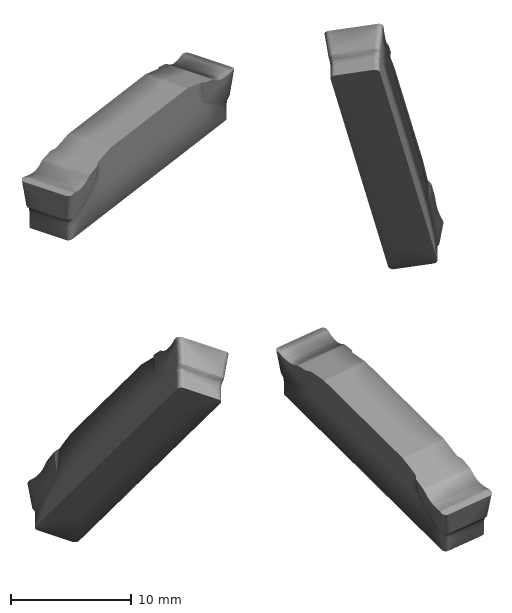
import cadquery as cq
import math

length = 25.22
height = 5.98
head_width = 5.0
body_width = 4.19
body_inset = 0.55
corner_radius = 0.4

edge_height = 4.67
land_start = 0.53
land_end = 0.68
land_height = 4.75
groove_entry = 1.05
groove_entry_height = 4.65
groove_start = 1.45
groove_flat_end = 1.97
groove_height = 4.6
groove_rise_end = 3.03
groove_rise_height = 5.02
groove_rise_sag = 0.08
crest_end = 3.35
crest_height = 5.2
crest_sag = 0.018
ramp_end = 6.75

relief_inset = 0.25
relief_bottom = 2.25
step_bottom = 1.71
head_bottom = 1.45

back_taper = 0.065
side_relief = 0.11
flank_length = 4.41
rear_slope = 1.9
rear_half_width = 1.25

mid_y = length / 2


def sagged_point(start, end, sag):
    """Middle of an arc that bulges down by sag for a rise from start to end."""
    chord_x = end[0] - start[0]
    chord_z = end[1] - start[1]
    chord = math.hypot(chord_x, chord_z)
    return (
        (start[0] + end[0]) / 2 + sag * chord_z / chord,
        (start[1] + end[1]) / 2 - sag * chord_x / chord,
    )


def at_end(distance, z):
    """Outline point of the -Y end, measured from its tip."""
    return (distance - mid_y, z)


def top_outline(start):
    """Trace the top from a start point on the tip to the middle of the part."""
    groove_flat = at_end(groove_flat_end, groove_height)
    groove_rise = at_end(groove_rise_end, groove_rise_height)
    crest = at_end(crest_end, crest_height)
    return (
        start.lineTo(*at_end(land_start, land_height))
        .lineTo(*at_end(land_end, land_height))
        .lineTo(*at_end(groove_entry, groove_entry_height))
        .lineTo(*at_end(groove_start, groove_height))
        .lineTo(*groove_flat)
        .threePointArc(sagged_point(groove_flat, groove_rise, groove_rise_sag), groove_rise)
        .threePointArc(sagged_point(groove_rise, crest, -crest_sag), crest)
        .lineTo(*at_end(ramp_end, height))
        .lineTo(0, height)
    )


def flank_section(z):
    """Corner points of the head at one height."""
    tip_half = head_width / 2 + back_taper * corner_radius + side_relief * (z - land_height)
    rear_half = tip_half - back_taper * flank_length
    rear_y = flank_length + rear_slope * (rear_half - rear_half_width) - mid_y
    right_side = [
        (tip_half, -mid_y),
        (rear_half, flank_length - mid_y),
        (rear_half_width, rear_y),
    ]
    left_side = [(-x, y) for x, y in reversed(right_side)]
    return right_side + left_side


def end_half():
    """-Y half of the part: body and flared cutting head."""
    start = (
        cq.Workplane("YZ", origin=(-head_width, 0, 0)).moveTo(*at_end(body_inset, head_bottom))
        .lineTo(*at_end(body_inset, step_bottom))
        .spline(
            [at_end(relief_inset, relief_bottom)],
            tangents=[(0, 1), (-relief_inset, edge_height - relief_bottom)],
            includeCurrent=True,
        )
        .lineTo(*at_end(0, edge_height))
    )
    profile = top_outline(start).lineTo(0, head_bottom).close().extrude(2 * head_width)
    flanks = (
        cq.Workplane("XY").workplane(offset=head_bottom).polyline(flank_section(head_bottom)).close()
        .workplane(offset=height - head_bottom).polyline(flank_section(height)).close()
        .loft(ruled=True)
    )
    head = profile.intersect(flanks)
    margin = 0.03
    corner_zone = cq.selectors.BoxSelector(
        (-head_width, -mid_y - margin, head_bottom),
        (head_width, body_inset - mid_y + margin, edge_height),
    )
    corners = head.edges(corner_zone).edges("not |X").edges("not |Y")
    head = corners.fillet(corner_radius)

    body = (
        cq.Workplane("XY").rect(body_width, length - 2 * body_inset).extrude(height)
        .edges("|Z").fillet(corner_radius)
    )
    envelope = profile.union(
        cq.Workplane("XY").box(2 * head_width, mid_y, head_bottom, centered=(True, False, False))
        .translate((0, -mid_y, 0))
    )
    return body.intersect(envelope).union(head)


first_half = end_half()
result = first_half.union(first_half.mirror("XZ")).clean()